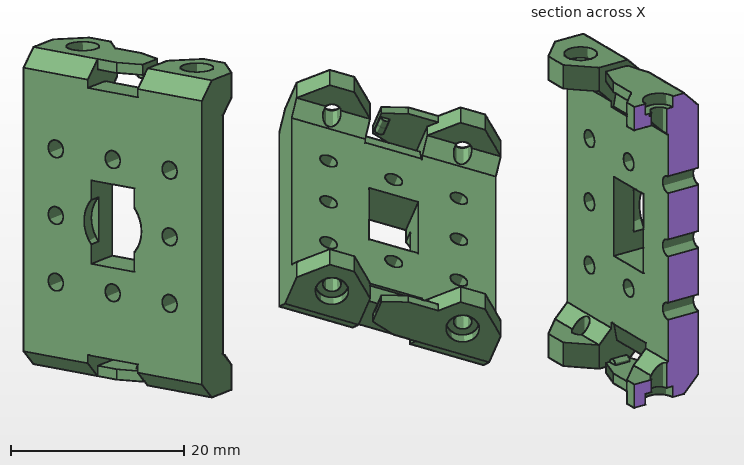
import cadquery as cq

width = 25.0
depth = 9.0
height = 38.0

plate_thickness = 4.3
ear_thickness = 3.0
front_chamfer = 2.0
ear_shoulder = 6.0
gusset = ear_shoulder - plate_thickness

ear_width = 9.0
gap_width = width - 2 * ear_width
ear_taper = depth - ear_shoulder
ear_x = (width - ear_width) / 2

relief_top_y = 3.55
relief_ledge_y = 4.0
relief_ledge_drop = 5.4

arm_thickness = 1.25
arm_front = front_chamfer
arm_back = 7.0
arm_bend_x = -0.85
arm_tip_x = 2.13
arm_tip_front = 3.0
arm_tip_back = 6.0

bump_radius = 0.57
bump_length = 2.0
bump_x = 1.5

hole_diameter = 2.1
counterbore_diameter = 3.8
counterbore_depth = 1.35
ear_hole_y = 5.5
plate_hole_pitch = 7.98

window_width = 6.0
window_height = 10.0
recess_diameter = 8.0
recess_depth = 1.5

half_width = width / 2
half_height = height / 2
half_gap = gap_width / 2


def both_ends(top_feature):
    """Join a feature of the top end with its mirror image at the bottom end."""
    return top_feature.union(top_feature.mirror("XY"))


def make_body():
    """Side profile of the plate and its ears, run across the full width."""
    ear_inner_z = half_height - ear_thickness
    top_half = [
        (0, 0),
        (0, half_height - front_chamfer),
        (front_chamfer, half_height),
        (depth, half_height),
        (depth, ear_inner_z),
        (ear_shoulder, ear_inner_z),
        (plate_thickness, ear_inner_z - gusset),
        (plate_thickness, 0),
    ]
    profile = cq.Workplane("YZ").polyline(top_half).close()
    return both_ends(profile.extrude(half_width, both=True))


def gap_cutter():
    """Space between the two top ears, with the sloped relief behind the plate."""
    floor_z = half_height - ear_thickness
    ledge_z = half_height - relief_ledge_drop
    profile = cq.Workplane("YZ").polyline([
        (0, half_height),
        (0, floor_z),
        (relief_top_y, floor_z),
        (relief_ledge_y, ledge_z),
        (depth, ledge_z),
        (depth, half_height),
    ]).close()
    return profile.extrude(half_gap, both=True)


def ear_corner_cutter():
    """Triangles that taper both sides of both ears towards the back."""
    cutter = cq.Workplane("XY")
    for center_x in (-ear_x, ear_x):
        for side in (-1, 1):
            edge_x = center_x + side * ear_width / 2
            triangle = cq.Workplane("XY").polyline([
                (edge_x, ear_shoulder),
                (edge_x, depth),
                (edge_x - side * ear_taper, depth),
            ]).close()
            cutter = cutter.add(triangle.extrude(half_height, both=True))
    return cutter.combine()


def make_arm():
    """Thin arm flush with the top of the left ear, with a bump near its tip."""
    arm_bottom = half_height - arm_thickness
    root_x = -ear_x
    arm = (
        cq.Workplane("XY", origin=(0, 0, arm_bottom))
        .polyline([
            (root_x, arm_front),
            (arm_bend_x, arm_front),
            (arm_tip_x, arm_tip_front),
            (arm_tip_x, arm_tip_back),
            (arm_bend_x, arm_back),
            (root_x, arm_back),
        ])
        .close()
        .extrude(arm_thickness)
    )
    tip_middle = (arm_tip_front + arm_tip_back) / 2
    bump = (
        cq.Workplane("XZ", origin=(bump_x, tip_middle, arm_bottom))
        .circle(bump_radius)
        .extrude(bump_length / 2, both=True)
    )
    return arm.union(bump)


def ear_hole_cutter():
    """Counterbored screw holes through the two top ears."""
    centers = [(-ear_x, ear_hole_y), (ear_x, ear_hole_y)]
    top = cq.Workplane("XY", origin=(0, 0, half_height)).pushPoints(centers)
    through = top.circle(hole_diameter / 2).extrude(-(ear_thickness + gusset))
    return through.union(top.circle(counterbore_diameter / 2).extrude(-counterbore_depth))


def plate_cutter():
    """Window, round recess and the ring of eight plate holes."""
    front = cq.Workplane("XZ")
    cutter = front.rect(window_width, window_height).extrude(-plate_thickness)
    cutter = cutter.union(front.circle(recess_diameter / 2).extrude(-recess_depth))
    steps = (-1, 0, 1)
    centers = [
        (column * plate_hole_pitch, row * plate_hole_pitch)
        for column in steps
        for row in steps
        if (column, row) != (0, 0)
    ]
    holes = front.pushPoints(centers).circle(hole_diameter / 2).extrude(-plate_thickness)
    return cutter.union(holes)


result = (
    make_body()
    .cut(both_ends(gap_cutter()))
    .cut(ear_corner_cutter())
    .union(both_ends(make_arm()))
    .cut(both_ends(ear_hole_cutter()))
    .cut(plate_cutter())
)